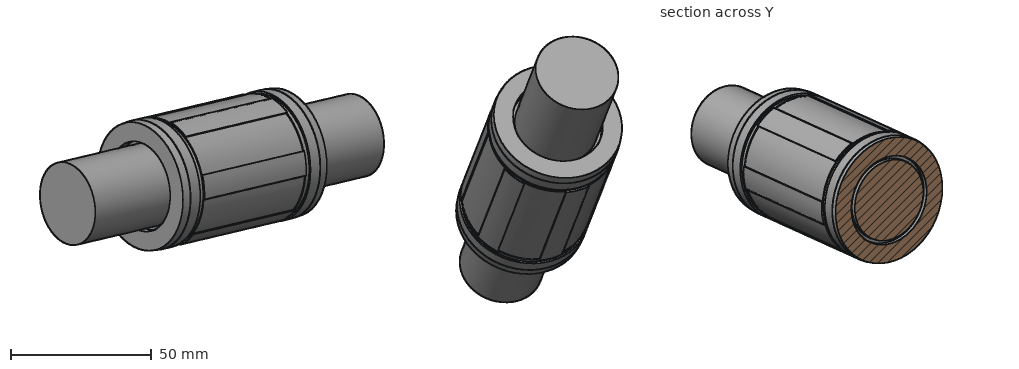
import cadquery as cq

shaft_length = 136.0
shaft_diameter = 30.0
sleeve_length = 67.7
sleeve_diameter = 47.0
rim_taper_depth = 0.3

clearance_diameter = 32.6
clearance_depth = 3.3

seam_offset = 3.3
seam_width = 0.1
groove_offset = 7.9
groove_width = 2.0
groove_diameter = 45.5

strip_count = 6
strip_angle = 22.0
first_strip_angle = 6.7
recess_diameter = 46.2

sleeve_end = sleeve_length / 2
middle_length = sleeve_length - 2 * (groove_offset + groove_width)
strip_pitch = 360 / strip_count
recess_angle = strip_pitch - strip_angle


def cylinder(diameter, start, length):
    """Cylinder along +Y from the given Y position."""
    plane = cq.Workplane("XZ", origin=(0, start, 0))
    return plane.circle(diameter / 2).extrude(-length)


def ring(outer, inner, start, length):
    """Ring along +Y between two diameters."""
    return cylinder(outer, start, length).cut(cylinder(inner, start, length))


def end_cut(outer, inner, offset, width):
    """Matching ring cutters at the same distance from both sleeve ends."""
    front = ring(outer, inner, -sleeve_end + offset, width)
    return front.union(front.mirror("XZ"))


def sleeve_blank():
    """Solid sleeve body tapering slightly from each seam groove to the rim."""
    radius = sleeve_diameter / 2
    rim_radius = radius - rim_taper_depth
    taper_start = sleeve_end - seam_offset
    half_section = [
        (0, -sleeve_end),
        (rim_radius, -sleeve_end),
        (radius, -taper_start),
        (radius, taper_start),
        (rim_radius, sleeve_end),
        (0, sleeve_end),
    ]
    return cq.Workplane("XY").polyline(half_section).close().revolve(360, (0, 0), (0, 1))


def recess(centre_angle):
    """Cutter for one recess between two neighbouring strips."""
    depth = (sleeve_diameter - recess_diameter) / 2
    middle_radius = recess_diameter / 2 + depth / 2
    section = (
        cq.Workplane("XY")
        .center(middle_radius, 0)
        .rect(depth, middle_length)
        .revolve(recess_angle, (-middle_radius, 0), (-middle_radius, 1))
    )
    return section.rotate((0, 0, 0), (0, 1, 0), -centre_angle - recess_angle / 2)


sleeve = sleeve_blank()
sleeve = sleeve.cut(end_cut(sleeve_diameter, groove_diameter, seam_offset, seam_width))
sleeve = sleeve.cut(end_cut(sleeve_diameter, groove_diameter, groove_offset, groove_width))
sleeve = sleeve.cut(end_cut(clearance_diameter, shaft_diameter, 0, clearance_depth))
for index in range(strip_count):
    sleeve = sleeve.cut(recess(first_strip_angle + strip_pitch * (index + 0.5)))

shaft = cylinder(shaft_diameter, -shaft_length / 2, shaft_length)
result = sleeve.union(shaft)